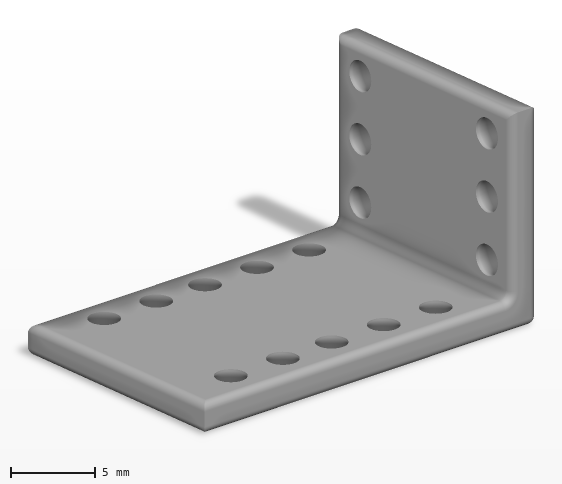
import cadquery as cq

width = 16.0
base_length = 26.0
wall_height = 14.0
thickness = 2.0
edge_radius = 0.5

hole_diameter = 2.0
hole_half_spacing = 5.75
hole_pitch = 4.064
wall_holes_middle_z = 8.0
base_front_group_y = 4.0
base_rear_group_y = 11.872

wall_front_y = base_length - thickness


def bracket_body():
    """L-shaped blank: flat base with an upright wall at its +Y end, inner and outer edges rounded."""
    profile = [
        (0, 0),
        (base_length, 0),
        (base_length, wall_height),
        (wall_front_y, wall_height),
        (wall_front_y, thickness),
        (0, thickness),
    ]
    blank = cq.Workplane("YZ").polyline(profile).close().extrude(width / 2, both=True)

    sharp_edges = "(|Z and <Y) or (|Y and >Z)"
    return blank.edges(f"not ({sharp_edges})").fillet(edge_radius)


def base_holes():
    """Cutters for the two columns of vertical holes through the base."""
    front_pair = [base_front_group_y + i * hole_pitch for i in range(2)]
    rear_three = [base_rear_group_y + i * hole_pitch for i in range(3)]
    centers = [
        (side * hole_half_spacing, y)
        for side in (-1, 1)
        for y in front_pair + rear_three
    ]
    return cq.Workplane("XY").pushPoints(centers).circle(hole_diameter / 2).extrude(thickness)


def wall_holes():
    """Cutters for the two columns of horizontal holes through the wall."""
    centers = [
        (side * hole_half_spacing, wall_holes_middle_z + row * hole_pitch)
        for side in (-1, 1)
        for row in (-1, 0, 1)
    ]
    return (
        cq.Workplane("XZ", origin=(0, base_length, 0))
        .pushPoints(centers)
        .circle(hole_diameter / 2)
        .extrude(thickness)
    )


result = bracket_body().cut(base_holes()).cut(wall_holes())